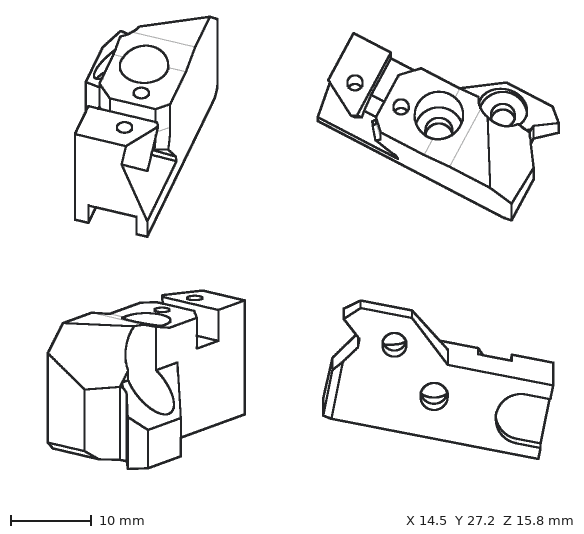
import cadquery as cq
import math

block_width = 9.5
length = 27.2
height = 15.8
deck_height = 14.8
ramp_start_y = 14.93
ramp_end_y = 18.5
back_corner_x = 3.62
back_corner_y = 24.7
back_foot_chamfer = 1.03

wing_reach = 4.95
wing_outer_height = 4.98
wing_front_root_y = 13.33
wing_front_y = 18.82
wing_back_y = 25.32
wing_tip_x = -3.18
wing_tip_y = 27.12
wing_notch_x = -1.05

facet_start_y = 24.2
facet_turn = 30.0
facet_fall = 50.8

counterbore_diameter = 6.0
bolt_seat_height = 4.0
wing_bolt = (-1.2, 20.32)
wing_bolt_diameter = 3.0
main_bolt = (4.25, 14.23)
main_bolt_diameter = 3.4

pin_diameter = 1.9
pin_depth = 5.98
pin_x = 5.47
pin_places_y = (3.1, 9.57)

slot_front_y = 5.25
slot_back_y = 7.43
slot_floor = 10.8
slot_left_chamfer = 2.07
slot_back_corner_x = 8.08
slot_bevel_x = 5.22
flare_radius = 7.0
flare_depth = 4.27

pocket_floor_angle = 21.0
pocket_floor_low = 2.7
pocket_lean = 9.7
pocket_turn = 30.0
rib_edge_x = 9.35
rib_edge_y = 4.6
pocket_corner_y = 6.05
pocket_roof_point = (block_width, 8.02, 7.72)
pocket_roof_normal = (2, -4, -3)

groove_width = 6.28
groove_height = 3.0
groove_center_x = 4.92
groove_center_y = pin_places_y[0]

over = 2.72
right_x = block_width + over
top_z = height + over


def prism_along_y(points, start_y, end_y):
    """Extrude an XZ outline from start_y to end_y."""
    outline = cq.Workplane("XZ", origin=(0, start_y, 0)).polyline(points).close()
    return outline.extrude(start_y - end_y)


def oblique(outline, direction):
    """Extrude the closed outline of a workplane along any direction."""
    return cq.Workplane(cq.Solid.extrudeLinear(outline.val(), [], cq.Vector(*direction)))


def half_space(point, normal):
    """Large block lying on the side of a plane that the normal points to."""
    return cq.Workplane(cq.Plane(origin=point, normal=normal)).rect(4 * length, 4 * length).extrude(2 * length)


def make_block():
    side = [
        (0, 0),
        (length - back_foot_chamfer, 0),
        (length, back_foot_chamfer),
        (length, height),
        (ramp_end_y, height),
        (ramp_start_y, deck_height),
        (0, deck_height),
    ]
    plan = [
        (0, 0),
        (block_width, 0),
        (block_width, length),
        (back_corner_x, length),
        (0, back_corner_y),
    ]
    body = cq.Workplane("YZ").polyline(side).close().extrude(block_width)
    return body.intersect(cq.Workplane("XY").polyline(plan).close().extrude(height))


def make_wing():
    plan = [
        (0, wing_front_root_y),
        (-wing_reach, wing_front_y),
        (-wing_reach, wing_back_y),
        (wing_tip_x, wing_tip_y),
        (wing_notch_x, back_corner_y),
        (0, back_corner_y),
    ]
    section = [
        (0, 0),
        (-wing_reach, 0),
        (-wing_reach, wing_outer_height),
        (0, wing_outer_height + wing_reach),
    ]
    body = cq.Workplane("XY").polyline(plan).close().extrude(height)
    return body.intersect(prism_along_y(section, 0, length))


def corner_facet():
    turn = math.radians(facet_turn)
    slope = math.tan(math.radians(facet_fall))
    slope_x = slope * math.sin(turn)
    slope_y = slope * math.cos(turn)
    on_block = half_space((block_width, facet_start_y, height), (-slope_x, slope_y, 1))
    on_block = on_block.intersect(half_space((0, 0, 0), (1, 0, 0)))
    left_height = height - slope_x * block_width
    on_wing = half_space((0, facet_start_y, left_height), (0, slope_y, 1))
    root_strip = cq.Workplane("XY").box(-wing_notch_x, 4 * length, 4 * length)
    on_wing = on_wing.intersect(root_strip.translate((wing_notch_x / 2, 0, 0)))
    return on_block.union(on_wing)


def stepped_hole(center, diameter):
    bore = cq.Workplane("XY").center(*center).circle(diameter / 2).extrude(top_z)
    seat = cq.Workplane("XY", origin=(0, 0, bolt_seat_height)).center(*center)
    return bore.union(seat.circle(counterbore_diameter / 2).extrude(top_z))


def pin_holes():
    places = [(pin_x, y) for y in pin_places_y]
    holes = cq.Workplane("XY", origin=(0, 0, deck_height)).pushPoints(places)
    return holes.circle(pin_diameter / 2).extrude(-pin_depth)


def pocket_floor_x(z):
    return block_width - (z - pocket_floor_low) * math.tan(math.radians(pocket_floor_angle))


def pocket_floor_z(x):
    return pocket_floor_low + (block_width - x) / math.tan(math.radians(pocket_floor_angle))


def cross_slot():
    low_z = slot_floor - flare_depth

    def flare_y(depth):
        return slot_back_y - flare_radius + math.sqrt(flare_radius**2 - depth**2)

    def side_outline(x, shift):
        return (
            cq.Workplane("YZ", origin=(x, shift, 0))
            .moveTo(-length, top_z)
            .lineTo(slot_back_y, top_z)
            .lineTo(slot_back_y, slot_floor)
            .threePointArc(
                (flare_y(flare_depth / 2), slot_floor - flare_depth / 2),
                (flare_y(flare_depth), low_z),
            )
            .lineTo(-length, low_z)
            .close()
        )

    straight = slot_back_corner_x - slot_left_chamfer
    left = oblique(side_outline(0, slot_left_chamfer), (slot_left_chamfer, -slot_left_chamfer, 0))
    middle = oblique(side_outline(slot_left_chamfer, 0), (straight, 0, 0))
    right = oblique(side_outline(slot_back_corner_x, 0), (over, over, 0))
    walls = left.union(middle).union(right)

    steep = 1 / math.tan(math.radians(pocket_floor_angle))
    bevel_run = (pocket_floor_z(slot_bevel_x) - slot_floor) / (steep - 1)
    floor_line = [
        (-over, slot_floor),
        (slot_bevel_x, slot_floor),
        (slot_bevel_x + bevel_run, slot_floor - bevel_run),
        (right_x, pocket_floor_z(right_x)),
        (right_x, top_z),
        (-over, top_z),
    ]
    return walls.intersect(prism_along_y(floor_line, slot_front_y, length / 2))


def side_pockets():
    spread = math.tan(math.radians(pocket_turn))
    down = (-deck_height * math.tan(math.radians(pocket_lean)), 0, -deck_height)
    far_x = 2 * right_x
    corner_x = rib_edge_x - (pocket_corner_y - rib_edge_y) * spread
    far_y = length / 2
    front_plan = [
        (rib_edge_x - rib_edge_y * spread, 0),
        (rib_edge_x, rib_edge_y),
        (far_x, rib_edge_y),
        (far_x, 0),
    ]
    rear_plan = [
        (rib_edge_x, rib_edge_y),
        (corner_x, pocket_corner_y),
        (corner_x + (far_y - pocket_corner_y) * spread, far_y),
        (far_x, far_y),
        (far_x, rib_edge_y),
    ]

    def leaning_prism(plan):
        return oblique(cq.Workplane("XY", origin=(0, 0, deck_height)).polyline(plan).close(), down)

    above_floor = prism_along_y(
        [
            (pocket_floor_x(0), 0),
            (pocket_floor_x(top_z), top_z),
            (far_x, top_z),
            (far_x, 0),
        ],
        0,
        length,
    )
    rear = leaning_prism(rear_plan)
    under_roof = rear.intersect(half_space(pocket_roof_point, pocket_roof_normal))
    beside_rib = rear.intersect(cq.Workplane("XY").box(4 * length, 2 * slot_front_y, 4 * length))
    return leaning_prism(front_plan).union(under_roof).union(beside_rib).intersect(above_floor)


def front_groove():
    end = cq.Workplane("XY").center(groove_center_x, groove_center_y).circle(groove_width / 2)
    throat = cq.Workplane("XY").center(groove_center_x, 0).rect(groove_width, 2 * groove_center_y)
    return end.extrude(groove_height).union(throat.extrude(groove_height))


result = (
    make_block()
    .union(make_wing())
    .cut(corner_facet())
    .cut(stepped_hole(wing_bolt, wing_bolt_diameter))
    .cut(stepped_hole(main_bolt, main_bolt_diameter))
    .cut(pin_holes())
    .cut(cross_slot())
    .cut(side_pockets())
    .cut(front_groove())
)